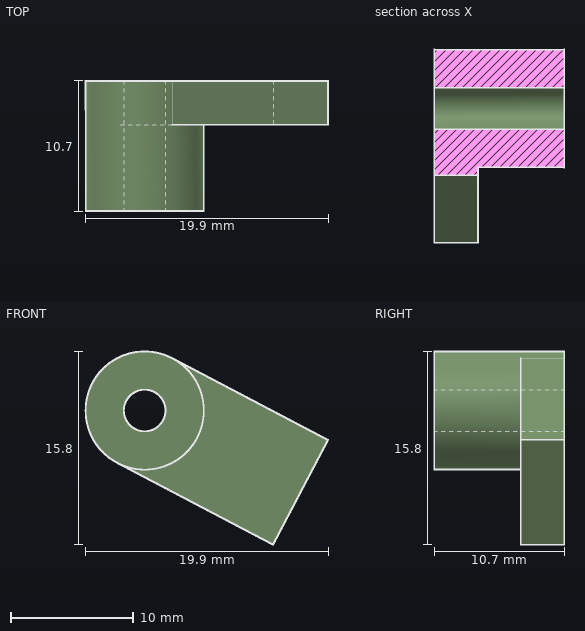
import cadquery as cq

barrel_diameter = 9.7
barrel_length = 10.66
bore_diameter = 3.4

arm_thickness = 3.6
arm_length = 14.42
arm_slope = 27.7


def rod(diameter, length):
    """Cylinder running from the back face (Y = 0) toward -Y."""
    return cq.Workplane("XZ").circle(diameter / 2).extrude(length)


def sloping_arm():
    """Plate tangent to the barrel, tilted down toward +X."""
    plate = (
        cq.Workplane("XZ")
        .rect(arm_length, barrel_diameter)
        .extrude(arm_thickness)
        .translate((arm_length / 2, 0, 0))
    )
    return plate.rotate((0, 0, 0), (0, 1, 0), arm_slope)


barrel = rod(barrel_diameter, barrel_length)
bore = rod(bore_diameter, barrel_length)
result = barrel.union(sloping_arm()).cut(bore)